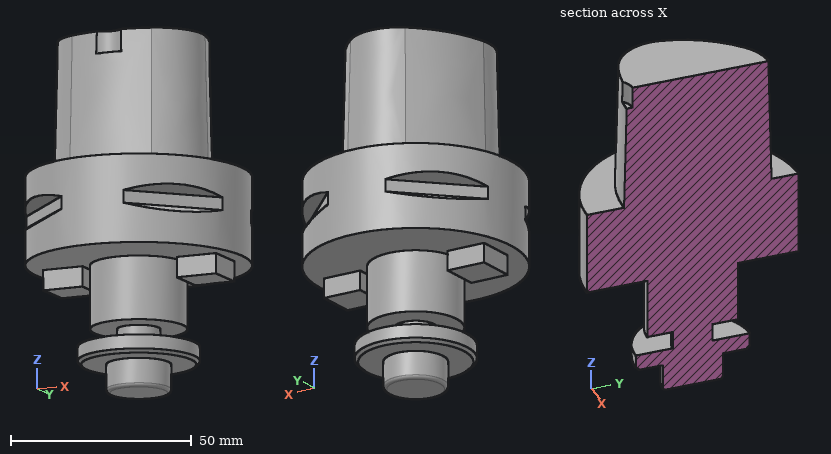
import cadquery as cq
import math

total_height = 99.0
flange_top = 61.1
flange_bottom = 36.0
key_bottom = 30.3
spigot_bottom = 18.0
washer_top = 13.0
washer_bottom = 8.0

flange_diameter = 63.0
spigot_diameter = 27.0
neck_diameter = 12.0
washer_diameter = 34.0
screw_head_diameter = 18.0
washer_chamfer = 1.0
screw_head_fillet = 1.0

lobe_reach = 23.5
flank_reach = 20.5
flank_radius = 36.6
shank_inset = 0.94

notch_radius = 5.4
notch_floor_y = -17.9
notch_depth = 6.3

groove_middle = 49.0
groove_floor_width = 3.6
groove_floor_distance = 27.9
groove_side_angle = 30.0
groove_overshoot = 2.0

key_width = 12.0
key_inner = 14.5
key_outer = 26.4


def disc(diameter, bottom, top):
    return cq.Workplane("XY").workplane(offset=bottom).circle(diameter / 2).extrude(top - bottom)


def polar(radius, degrees):
    angle = math.radians(degrees)
    return radius * math.cos(angle), radius * math.sin(angle)


def shank():
    """Tapered prism of three wide flank arcs joined tangentially by three lobe arcs."""
    flank_center = flank_radius - flank_reach
    radius_gap = flank_radius - lobe_reach
    lobe_center = (flank_center**2 - radius_gap**2) / (2 * radius_gap - flank_center)
    lobe_x, lobe_y = polar(lobe_center, -30)
    joint_angle = math.atan2(lobe_y - flank_center, lobe_x)
    joint_x = flank_radius * math.cos(joint_angle)
    joint_y = flank_center + flank_radius * math.sin(joint_angle)
    joint_reach = math.hypot(joint_x, joint_y)
    half_flank = 90 + math.degrees(math.atan2(joint_y, joint_x))

    outline = cq.Workplane("XY").workplane(offset=flange_top)
    outline = outline.moveTo(*polar(joint_reach, -90 - half_flank))
    for flank_angle in (-90, 30, 150):
        outline = outline.threePointArc(
            polar(flank_reach, flank_angle), polar(joint_reach, flank_angle + half_flank)
        )
        outline = outline.threePointArc(
            polar(lobe_reach, flank_angle + 60), polar(joint_reach, flank_angle + 120 - half_flank)
        )
    height = total_height - flange_top
    taper = math.degrees(math.atan2(shank_inset, height))
    body = outline.close().extrude(height, taper=taper)
    notch = disc(2 * notch_radius, total_height - notch_depth, total_height)
    return body.cut(notch.translate((0, notch_floor_y - notch_radius, 0)))


def flange():
    """Disc with four flat-bottomed grooves on its diagonals."""
    body = disc(flange_diameter, flange_bottom, flange_top)
    outside = flange_diameter / 2 + groove_overshoot
    flare = (outside - groove_floor_distance) * math.tan(math.radians(groove_side_angle))
    half_floor = groove_floor_width / 2
    groove = (
        cq.Workplane("XZ")
        .polyline([
            (groove_floor_distance, groove_middle - half_floor),
            (outside, groove_middle - half_floor - flare),
            (outside, groove_middle + half_floor + flare),
            (groove_floor_distance, groove_middle + half_floor),
        ])
        .close()
        .extrude(flange_diameter / 2, both=True)
    )
    for angle in (45, 135, 225, 315):
        body = body.cut(groove.rotate((0, 0, 0), (0, 0, 1), angle))
    return body


def drive_keys():
    key = cq.Workplane("XY").box(
        key_outer - key_inner, key_width, flange_bottom - key_bottom, centered=(False, True, False)
    ).translate((key_inner, 0, key_bottom))
    return key.union(key.mirror("YZ"))


def clamping_screw():
    """Neck, chamfered washer and rounded screw head."""
    neck = disc(neck_diameter, washer_top, spigot_bottom)
    washer = disc(washer_diameter, washer_bottom, washer_top)
    washer = washer.faces("<Z").edges().chamfer(washer_chamfer)
    head = disc(screw_head_diameter, 0, washer_bottom)
    head = head.faces("<Z").edges().fillet(screw_head_fillet)
    return neck.union(washer).union(head)


spigot = disc(spigot_diameter, spigot_bottom, flange_bottom)
result = flange().union(shank()).union(spigot).union(drive_keys()).union(clamping_screw())